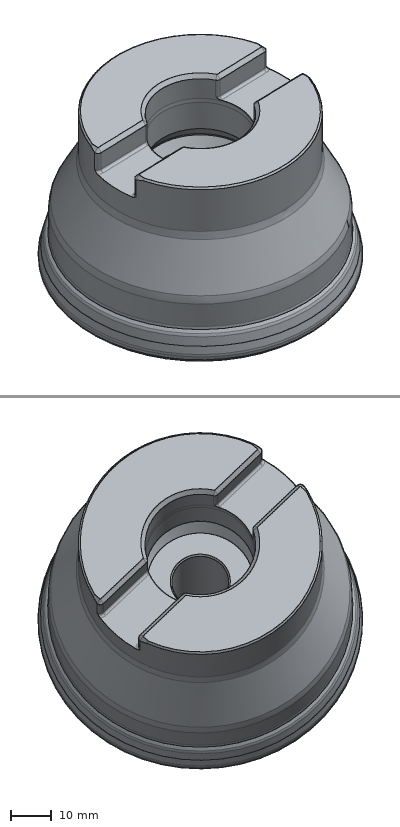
import cadquery as cq
import math

height = 50.0
shank_diameter = 60.0
collar_diameter = 74.75
rim_chamfer = 0.5
cone_top_z = 35.0
cone_bottom_z = 20.2
cone_blend = 4.95

flare_blend_top_z = 11.8
flare_corner_z = 11.1
flare_corner_radius = 37.6
flare_slope_bottom_z = 10.4
flare_slope_radius = 38.3
flare_round_middle = (38.5, 10.0)
flare_cone_top = (38.7, 9.7)

ring_diameter = 79.95
ring_top = (39.3, 7.2)
ring_cone_bottom = (39.9, 5.0)
ring_widest_z = 4.3
ring_nose_points = [(39.9, 3.35), (39.4, 2.6), (38.7, 1.9), (38.05, 1.4), (36.0, 0.7)]
ring_inner_diameter = 67.6

bore_diameter = 27.0
bore_entry_diameter = 27.2
entry_bottom_z = 42.7
entry_taper_height = 1.2
groove_top_z = 33.1
groove_angle = 30.0
groove_bottom_z = 30.05
groove_land_height = 0.4
floor_z = 27.0
floor_diameter = 26.2
bolt_hole_diameter = 14.0
bolt_hole_chamfer = 0.4

slot_width = 12.4
slot_depth = 7.0
slot_floor_fillet = 0.7
slot_corner_radius = 1.1
slot_chamfer = 1.0

shank_radius = shank_diameter / 2
collar_radius = collar_diameter / 2
ring_inner_radius = ring_inner_diameter / 2
overrun = 8.0
selection_margin = 0.8


def turned(outline):
    """Revolve a closed (radius, z) outline about the Z axis."""
    return outline.close().revolve(360, (0, 0, 0), (0, 1, 0))


def blended_cone():
    """Shank, cone and collar, with the two ends of the cone rounded."""
    blank = turned(
        cq.Workplane("XZ")
        .moveTo(0, flare_blend_top_z)
        .lineTo(collar_radius, flare_blend_top_z)
        .lineTo(collar_radius, cone_bottom_z)
        .lineTo(shank_radius, cone_top_z)
        .lineTo(shank_radius, height)
        .lineTo(0, height)
    )
    cone_ends = blank.edges(
        cq.selectors.BoxSelector(
            (-ring_diameter, -ring_diameter, cone_bottom_z - selection_margin),
            (ring_diameter, ring_diameter, cone_top_z + selection_margin),
        )
    ).edges("%CIRCLE")
    return cone_ends.fillet(cone_blend).faces(">Z").chamfer(rim_chamfer)


def flare():
    """Foot of the body, with a rabbet at its outer corner for the cutting ring."""
    return turned(
        cq.Workplane("XZ")
        .lineTo(ring_inner_radius, 0)
        .lineTo(ring_inner_radius, ring_top[1])
        .lineTo(*ring_top)
        .lineTo(*flare_cone_top)
        .threePointArc(flare_round_middle, (flare_slope_radius, flare_slope_bottom_z))
        .lineTo(flare_corner_radius, flare_corner_z)
        .lineTo(collar_radius, flare_blend_top_z)
        .lineTo(0, flare_blend_top_z)
    )


def bore():
    """Bore, relief groove, bore floor and chamfered bolt hole as one turned cutter."""
    bore_radius = bore_diameter / 2
    entry_radius = bore_entry_diameter / 2
    bolt_radius = bolt_hole_diameter / 2
    groove_widening = (groove_top_z - groove_bottom_z) * math.tan(math.radians(groove_angle))
    return turned(
        cq.Workplane("XZ")
        .moveTo(0, -overrun)
        .lineTo(bolt_radius, -overrun)
        .lineTo(bolt_radius, floor_z - bolt_hole_chamfer)
        .lineTo(bolt_radius + bolt_hole_chamfer, floor_z)
        .lineTo(floor_diameter / 2, floor_z)
        .lineTo(bore_radius + groove_widening, groove_bottom_z - groove_land_height)
        .lineTo(bore_radius + groove_widening, groove_bottom_z)
        .lineTo(bore_radius, groove_top_z)
        .lineTo(bore_radius, entry_bottom_z - entry_taper_height)
        .lineTo(entry_radius, entry_bottom_z)
        .lineTo(entry_radius, height + overrun)
        .lineTo(0, height + overrun)
    )


def slot_plan(z, depth):
    """Slot and bore outline with rounded corners, as a prism reaching from z to z + depth.

    Outside the shank the slot widens, so that its ends leave the shank through rounded corners.
    """
    mouth_y = math.sqrt(shank_radius**2 - (slot_width / 2 + slot_corner_radius) ** 2)
    plane = cq.Workplane("XY", origin=(0, 0, z))
    plan = plane.rect(slot_width, 2 * (mouth_y + overrun)).extrude(depth)
    plan = plan.union(plane.circle(bore_entry_diameter / 2).extrude(depth))
    for side in (-1, 1):
        mouth = plane.center(0, side * (mouth_y + overrun / 2)).rect(shank_diameter, overrun)
        plan = plan.union(mouth.extrude(depth))
    inner_corners = cq.selectors.BoxSelector(
        (-slot_width, -mouth_y - selection_margin, z - selection_margin),
        (slot_width, mouth_y + selection_margin, z + depth + selection_margin),
    )
    return plan.edges("|Z").edges(inner_corners).fillet(slot_corner_radius)


def driving_slot():
    """Slot with rounded floor edges, flaring out at the top to chamfer its rim and the bore's."""
    slot = slot_plan(height - slot_depth, slot_depth).faces("<Z").edges().fillet(slot_floor_fillet)
    chamfer_outline = slot_plan(height - slot_chamfer, slot_chamfer).faces("<Z").wires().val()
    chamfer = (
        cq.Workplane("XY", origin=(0, 0, height - slot_chamfer))
        .add(chamfer_outline)
        .toPending()
        .extrude(slot_chamfer, taper=-45)
    )
    return slot.union(chamfer)


def make_body():
    return blended_cone().union(flare()).cut(bore()).cut(driving_slot())


def make_cutting_ring():
    outline = cq.Workplane("XZ").moveTo(ring_inner_radius, 0)
    outline = outline.lineTo(ring_inner_radius, ring_top[1]).lineTo(*ring_top).lineTo(*ring_cone_bottom)
    outline = outline.lineTo(ring_diameter / 2, ring_widest_z)
    for point in ring_nose_points:
        outline = outline.lineTo(*point)
    return turned(outline)


body = make_body()
cutting_ring = make_cutting_ring()
result = cq.Compound.makeCompound([body.val(), cutting_ring.val()])